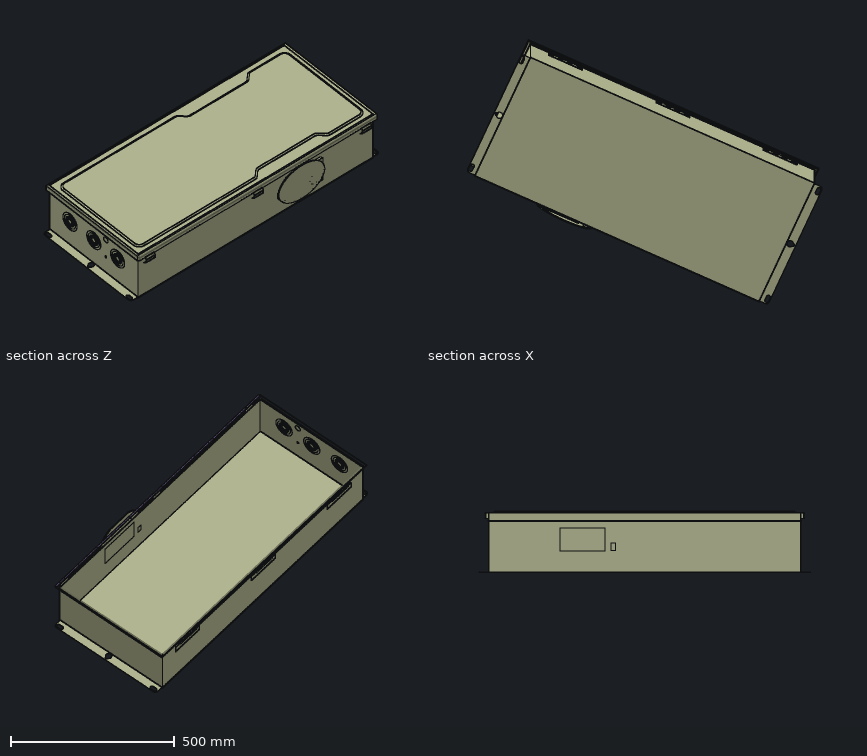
import cadquery as cq

SHEET = 2.0

HOUSING_WIDTH = 411.0
HOUSING_LENGTH = 954.0
HOUSING_SIDE_X = HOUSING_WIDTH / 2
HOUSING_END_Y = HOUSING_LENGTH / 2

BASE_WIDTH = 405.0
BASE_LENGTH = 1011.0
BASE_CORNER_RADIUS = 10.0
SLOT_LENGTH = 23.0
SLOT_WIDTH = 12.0
SLOT_X = 186.0
SLOT_Y = 496.0
KEYHOLE_DIAMETER = 19.0
KEYHOLE_NECK_WIDTH = 10.0
KEYHOLE_Y = 487.0
KEYHOLE_TIP_Y = 500.0

BEAD_PROJECTION = 0.5
BEAD_BOTTOM_Z = 156.0
BEAD_HEIGHT = 3.0

KNOCKOUT_PITCH = 110.0
KNOCKOUT_Z = 97.0
KNOCKOUT_GROOVE_RADII = [(32.0, 25.0), (18.0, 15.0), (12.0, 9.0)]
KNOCKOUT_DEPTH = 1.0
SMALL_KNOCKOUT_X = 56.0
SMALL_KNOCKOUTS = [(137.0, 10.0), (67.0, 3.5)]

DOOR_LEFT_X = -211.8
DOOR_RIGHT_X = 217.0
DOOR_LENGTH = 974.0
DOOR_BOTTOM_Z = 165.0
DOOR_TOP_Z = 184.0
DOOR_EDGE_RADIUS = 3.0
DOOR_RIGHT_RADIUS = 7.0
DOOR_CENTRE_X = (DOOR_LEFT_X + DOOR_RIGHT_X) / 2
DOOR_WIDTH = DOOR_RIGHT_X - DOOR_LEFT_X
DOOR_UNDERSIDE_Z = DOOR_TOP_Z - SHEET

PANEL_HALF_WIDTH = 187.0
PANEL_HALF_LENGTH = 462.0
PANEL_HEIGHT = 4.0
PANEL_BEVEL = 6.0
PANEL_BEVEL_DROP = 3.5
PANEL_CORNER_RADIUS = 24.0
WAIST_DEPTH = 26.0
WAIST_TOP_Y = 309.0
WAIST_BOTTOM_Y = 19.0
WAIST_RADIUS = 16.0

SKIRT_BOTTOM_Z = 153.0
SKIRT_TAPER_Z = 159.0
SKIRT_HALF_LENGTH = 407.0
SKIRT_TAPER = 8.0
SKIRT_INSET = 1.0
SKIRT_X = DOOR_LEFT_X + SKIRT_INSET

HINGE_PITCH = 360.0
HINGE_POSITIONS = [-HINGE_PITCH, 0, HINGE_PITCH]
LEAF_LENGTH = 113.0
LEAF_BOTTOM_Z = 122.0
LEAF_TOP_Z = 144.0
LEAF_X = -HOUSING_SIDE_X - SHEET
BARREL_RADIUS = (-HOUSING_SIDE_X - DOOR_LEFT_X) / 2
BARREL_X = DOOR_LEFT_X + BARREL_RADIUS
BARREL_Z = 148.0
PIN_RADIUS = 1.2
OUTER_KNUCKLE_START = 23.0
OUTER_KNUCKLE_END = 38.0
MIDDLE_KNUCKLE_HALF = 6.6
KNUCKLE_GAP = 1.0

CATCH_POSITIONS = [-439.0, 0, 439.0]
CATCH_WIDTH = 36.0
CATCH_THICKNESS = 2.5
CATCH_OUTER_X = 221.0
CATCH_TOE_X = 208.0
CATCH_KNEE_TOP_Z = 156.0
CATCH_KNEE_BOTTOM_Z = 146.0
CATCH_TOE_Z = 136.0

GRIP_OUTER_X = 230.0
GRIP_THICKNESS = 4.0
GRIP_BOTTOM_Z = 38.0
GRIP_TOP_Z = 175.0
GRIP_START_Y = 73.0
GRIP_END_Y = 259.0
GRIP_INNER_X = GRIP_OUTER_X - GRIP_THICKNESS
BOSS_RADIUS = 19.7
BOSS_Y = 221.0
BOSS_Z = 85.0
POST_Y = 96.0
POST_WIDTH = 15.0
POST_BOTTOM_Z = 68.0
POST_TOP_Z = 90.0
LOCK_CASE_START_Y = 121.0
LOCK_CASE_OUTER_X = 220.0
LOCK_CASE_BOTTOM_Z = 66.0
LOCK_CASE_SHOULDER_Z = 136.0
LOCK_CASE_TOP_Z = 146.0
LOCK_PLATE_THICKNESS = 1.5
LOCK_PLATE_BOTTOM_Z = 54.0


def box_between(x_range, y_range, z_range):
    """A rectangular block given by its two limits along each axis."""
    sizes = [end - start for start, end in (x_range, y_range, z_range)]
    return cq.Workplane().box(*sizes, centered=False).translate((x_range[0], y_range[0], z_range[0]))


def rod_along_y(radius, x, z, start_y, end_y):
    """A round rod parallel to Y."""
    return cq.Workplane("XZ", origin=(x, start_y, z)).circle(radius).extrude(start_y - end_y)


def base_plate():
    plate = cq.Workplane().rect(BASE_WIDTH, BASE_LENGTH).extrude(SHEET)
    plate = plate.edges("|Z").fillet(BASE_CORNER_RADIUS)
    slot_centres = [(sx * SLOT_X, sy * SLOT_Y) for sx in (-1, 1) for sy in (-1, 1)]
    slots = cq.Workplane().pushPoints(slot_centres).slot2D(SLOT_LENGTH, SLOT_WIDTH).extrude(SHEET)
    plate = plate.cut(slots)
    tip_radius = KEYHOLE_NECK_WIDTH / 2
    neck_length = KEYHOLE_TIP_Y - tip_radius - KEYHOLE_Y
    for side in (-1, 1):
        head = cq.Workplane().center(0, side * KEYHOLE_Y).circle(KEYHOLE_DIAMETER / 2).extrude(SHEET)
        neck = (
            cq.Workplane()
            .center(0, side * (KEYHOLE_Y + neck_length / 2))
            .slot2D(neck_length + KEYHOLE_NECK_WIDTH, KEYHOLE_NECK_WIDTH, 90)
            .extrude(SHEET)
        )
        plate = plate.cut(head).cut(neck)
    return plate


def cut_knockouts(body):
    """Mark the -Y wall with three concentric knockouts and two single ones."""
    wall = cq.Workplane("XZ", origin=(0, -HOUSING_END_Y, 0))
    centres = [(step * KNOCKOUT_PITCH, KNOCKOUT_Z) for step in (-1, 0, 1)]
    for outer, inner in KNOCKOUT_GROOVE_RADII:
        groove = wall.pushPoints(centres).circle(outer).circle(inner).extrude(-KNOCKOUT_DEPTH)
        body = body.cut(groove)
    for height, radius in SMALL_KNOCKOUTS:
        recess = wall.center(SMALL_KNOCKOUT_X, height).circle(radius).extrude(-KNOCKOUT_DEPTH)
        body = body.cut(recess)
    return body


def make_housing():
    bead_width = HOUSING_WIDTH + 2 * BEAD_PROJECTION
    bead_length = HOUSING_LENGTH + 2 * BEAD_PROJECTION
    cavity_width = HOUSING_WIDTH - 2 * SHEET
    cavity_length = HOUSING_LENGTH - 2 * SHEET
    body = cq.Workplane().rect(HOUSING_WIDTH, HOUSING_LENGTH).extrude(DOOR_UNDERSIDE_Z)
    bead = (
        cq.Workplane()
        .workplane(offset=BEAD_BOTTOM_Z)
        .rect(bead_width, bead_length)
        .extrude(BEAD_HEIGHT)
    )
    cavity = (
        cq.Workplane()
        .workplane(offset=SHEET)
        .rect(cavity_width, cavity_length)
        .extrude(DOOR_UNDERSIDE_Z)
    )
    body = body.union(bead).cut(cavity).union(base_plate())
    return cut_knockouts(body)


def raised_panel():
    waist_x = PANEL_HALF_WIDTH - WAIST_DEPTH
    right_side = [
        (PANEL_HALF_WIDTH, -PANEL_HALF_LENGTH),
        (PANEL_HALF_WIDTH, WAIST_BOTTOM_Y),
        (waist_x, WAIST_BOTTOM_Y + WAIST_DEPTH),
        (waist_x, WAIST_TOP_Y - WAIST_DEPTH),
        (PANEL_HALF_WIDTH, WAIST_TOP_Y),
        (PANEL_HALF_WIDTH, PANEL_HALF_LENGTH),
    ]
    left_side = [(-x, y) for x, y in reversed(right_side)]
    panel = (
        cq.Workplane(origin=(DOOR_CENTRE_X, 0, DOOR_TOP_Z))
        .polyline(right_side + left_side)
        .close()
        .extrude(PANEL_HEIGHT)
    )
    panel = panel.edges("|Z and (not >Y) and (not <Y)").fillet(WAIST_RADIUS)
    panel = panel.edges("|Z and (>Y or <Y)").fillet(PANEL_CORNER_RADIUS)
    return panel.faces(">Z").chamfer(PANEL_BEVEL_DROP, PANEL_BEVEL)


def door_pan():
    height = DOOR_TOP_Z - DOOR_BOTTOM_Z
    pan = cq.Workplane(origin=(DOOR_CENTRE_X, 0, DOOR_BOTTOM_Z)).rect(DOOR_WIDTH, DOOR_LENGTH).extrude(height)
    pan = pan.faces(">X").edges("|Z or >Z").fillet(DOOR_RIGHT_RADIUS)
    pan = pan.faces(">Z").edges("<X or <Y or >Y").fillet(DOOR_EDGE_RADIUS)
    cavity_half_length = DOOR_LENGTH / 2 - SHEET
    cavity = box_between(
        (DOOR_LEFT_X + SHEET, DOOR_RIGHT_X - DOOR_RIGHT_RADIUS),
        (-cavity_half_length, cavity_half_length),
        (DOOR_BOTTOM_Z, DOOR_UNDERSIDE_Z),
    )
    return pan.cut(cavity)


def door_skirt():
    """The tapered skirt set just inside the -X edge."""
    lower_half_length = SKIRT_HALF_LENGTH - SKIRT_TAPER
    return (
        cq.Workplane("YZ", origin=(SKIRT_X, 0, 0))
        .moveTo(-SKIRT_HALF_LENGTH, DOOR_UNDERSIDE_Z)
        .lineTo(-SKIRT_HALF_LENGTH, SKIRT_TAPER_Z)
        .lineTo(-lower_half_length, SKIRT_BOTTOM_Z)
        .lineTo(lower_half_length, SKIRT_BOTTOM_Z)
        .lineTo(SKIRT_HALF_LENGTH, SKIRT_TAPER_Z)
        .lineTo(SKIRT_HALF_LENGTH, DOOR_UNDERSIDE_Z)
        .close()
        .extrude(SHEET)
    )


def door_knuckle(start_y, end_y):
    """A barrel hung from the skirt, bored for the hinge pin."""
    tab = box_between((SKIRT_X, SKIRT_X + SHEET), (start_y, end_y), (BARREL_Z, SKIRT_BOTTOM_Z))
    barrel = rod_along_y(BARREL_RADIUS, BARREL_X, BARREL_Z, start_y, end_y)
    bore = rod_along_y(PIN_RADIUS, BARREL_X, BARREL_Z, start_y, end_y)
    return tab.union(barrel).cut(bore)


def door_catch(centre_y):
    """A bent strip that bulges out below the door edge and returns to the housing."""
    inner_x = CATCH_OUTER_X - CATCH_THICKNESS
    return (
        cq.Workplane("XZ", origin=(0, centre_y + CATCH_WIDTH / 2, 0))
        .moveTo(DOOR_RIGHT_X, DOOR_BOTTOM_Z)
        .lineTo(CATCH_OUTER_X, CATCH_KNEE_TOP_Z)
        .lineTo(CATCH_OUTER_X, CATCH_KNEE_BOTTOM_Z)
        .lineTo(CATCH_TOE_X + CATCH_THICKNESS, CATCH_TOE_Z)
        .lineTo(CATCH_TOE_X, CATCH_TOE_Z)
        .lineTo(inner_x, CATCH_KNEE_BOTTOM_Z)
        .lineTo(inner_x, CATCH_KNEE_TOP_Z)
        .lineTo(DOOR_RIGHT_X - CATCH_THICKNESS, DOOR_BOTTOM_Z)
        .close()
        .extrude(CATCH_WIDTH)
    )


def make_door():
    panel = raised_panel()
    panel_hollow = panel.translate((0, 0, -SHEET))
    door = door_pan().union(panel).cut(panel_hollow).union(door_skirt())
    knuckle_start = MIDDLE_KNUCKLE_HALF + KNUCKLE_GAP
    knuckle_end = OUTER_KNUCKLE_START - KNUCKLE_GAP
    for hinge_y in HINGE_POSITIONS:
        door = door.union(door_knuckle(hinge_y - knuckle_end, hinge_y - knuckle_start))
        door = door.union(door_knuckle(hinge_y + knuckle_start, hinge_y + knuckle_end))
    for catch_y in CATCH_POSITIONS:
        door = door.union(door_catch(catch_y))
    return door


def make_hinge(centre_y):
    """A leaf on the housing with three knuckles and the pin that carries the door."""
    leaf_x = (LEAF_X, -HOUSING_SIDE_X)
    leaf_y = (centre_y - LEAF_LENGTH / 2, centre_y + LEAF_LENGTH / 2)
    hinge = box_between(leaf_x, leaf_y, (LEAF_BOTTOM_Z, LEAF_TOP_Z))
    knuckle_spans = [
        (-OUTER_KNUCKLE_END, -OUTER_KNUCKLE_START),
        (-MIDDLE_KNUCKLE_HALF, MIDDLE_KNUCKLE_HALF),
        (OUTER_KNUCKLE_START, OUTER_KNUCKLE_END),
    ]
    for start, end in knuckle_spans:
        span = (centre_y + start, centre_y + end)
        hinge = hinge.union(box_between(leaf_x, span, (LEAF_TOP_Z, BARREL_Z)))
        hinge = hinge.union(rod_along_y(BARREL_RADIUS, BARREL_X, BARREL_Z, *span))
    pin_start = centre_y - OUTER_KNUCKLE_END
    pin_end = centre_y + OUTER_KNUCKLE_END
    return hinge.union(rod_along_y(PIN_RADIUS, BARREL_X, BARREL_Z, pin_start, pin_end))


def make_handle():
    """A flat oval grip held off the housing by a lock case with a round boss, and by a post."""
    case = (
        cq.Workplane("XZ", origin=(0, GRIP_END_Y, 0))
        .moveTo(HOUSING_SIDE_X, LOCK_CASE_BOTTOM_Z)
        .lineTo(LOCK_CASE_OUTER_X, LOCK_CASE_BOTTOM_Z)
        .lineTo(LOCK_CASE_OUTER_X, LOCK_CASE_TOP_Z)
        .lineTo(HOUSING_SIDE_X, LOCK_CASE_SHOULDER_Z)
        .close()
        .extrude(GRIP_END_Y - LOCK_CASE_START_Y)
    )
    plate_outer_x = LOCK_CASE_OUTER_X + LOCK_PLATE_THICKNESS
    case_y = (LOCK_CASE_START_Y, GRIP_END_Y)
    cover = box_between((LOCK_CASE_OUTER_X, plate_outer_x), case_y, (LOCK_PLATE_BOTTOM_Z, LOCK_CASE_TOP_Z))
    grip_centre_y = (GRIP_START_Y + GRIP_END_Y) / 2
    grip_centre_z = (GRIP_BOTTOM_Z + GRIP_TOP_Z) / 2
    grip = (
        cq.Workplane("YZ", origin=(GRIP_INNER_X, grip_centre_y, grip_centre_z))
        .ellipse((GRIP_END_Y - GRIP_START_Y) / 2, (GRIP_TOP_Z - GRIP_BOTTOM_Z) / 2)
        .extrude(GRIP_THICKNESS)
    )
    boss = (
        cq.Workplane("YZ", origin=(plate_outer_x, BOSS_Y, BOSS_Z))
        .circle(BOSS_RADIUS)
        .extrude(GRIP_INNER_X - plate_outer_x)
    )
    post_y = (POST_Y - POST_WIDTH / 2, POST_Y + POST_WIDTH / 2)
    post = box_between((HOUSING_SIDE_X, GRIP_INNER_X), post_y, (POST_BOTTOM_Z, POST_TOP_Z))
    return case.union(cover).union(boss).union(post).union(grip)


housing = make_housing()
door = make_door()
hinges = [make_hinge(hinge_y) for hinge_y in HINGE_POSITIONS]
handle = make_handle()

result = cq.Compound.makeCompound(
    [housing.val(), door.val(), *[hinge.val() for hinge in hinges], handle.val()]
)